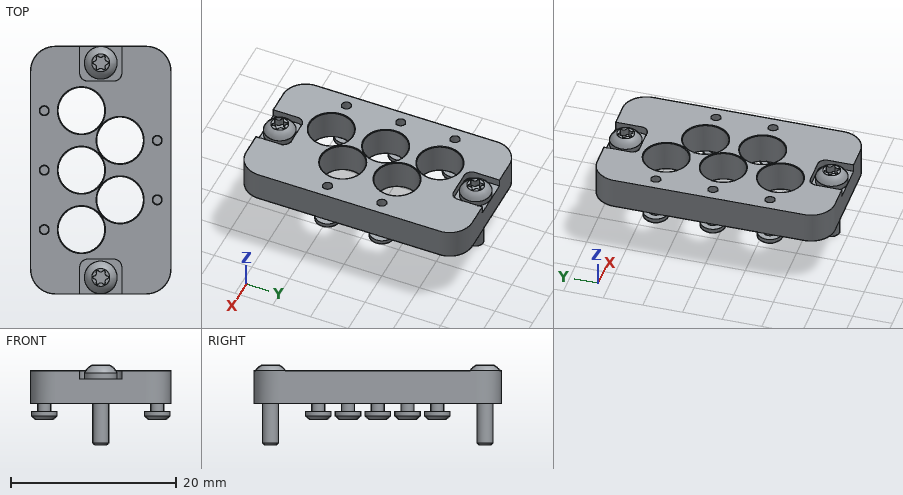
import cadquery as cq
import math

PLATE_WIDTH = 17.0
PLATE_LENGTH = 30.0
PLATE_THICKNESS = 4.0
CORNER_RADIUS = 3.0

PROBE_PITCH = 7.2
PROBE_COLUMN_X = 2.35
PROBE_DIAMETER = 5.65
PROBE_CHAMFER = 0.1

CLAMP_COLUMN_X = 6.85
CLAMP_HOLE_RADIUS = 0.6
CLAMP_TIP_HEIGHT = PLATE_THICKNESS / 2
CLAMP_TIP_CHAMFER = 0.05
CLAMP_SHANK_RADIUS = 0.8
CLAMP_SHANK_LENGTH = 0.93
CLAMP_HEAD_RADIUS = 1.55
CLAMP_RIM_HEIGHT = 0.55
CLAMP_TAPER_HEIGHT = 0.48
CLAMP_FACE_RADIUS = 1.02

POCKET_WIDTH = 5.1
POCKET_LENGTH = 4.23
POCKET_DEPTH = 1.0
POCKET_CORNER_RADIUS = 1.0
POCKET_FLOOR_Z = PLATE_THICKNESS - POCKET_DEPTH

SCREW_Y = 13.0
SHAFT_RADIUS = 1.0
SHAFT_BELOW_PLATE = 5.0
SHAFT_CHAMFER = 0.27
HEAD_RADIUS = 1.98
HEAD_RIM_HEIGHT = 0.72
HEAD_HEIGHT = 1.65
HEAD_FACE_RADIUS = 1.08
DOME_BULGE = 0.12

DRIVE_LOBES = 6
DRIVE_TIP_RADIUS = 0.93
DRIVE_VALLEY_RADIUS = 0.65
DRIVE_FLANK_RADIUS = 0.8
DRIVE_TIP_HALF_ANGLE = 12.0
DRIVE_DEPTH = 0.9


def polar(radius, degrees):
    angle = math.radians(degrees)
    return (radius * math.cos(angle), radius * math.sin(angle))


def probe_places():
    """Three openings on the left and two on the right, half a pitch apart: (side, y)."""
    left = [(-1, row * PROBE_PITCH) for row in (-1, 0, 1)]
    right = [(1, row * PROBE_PITCH) for row in (-0.5, 0.5)]
    return left + right


def make_plate():
    plate = cq.Workplane("XY").box(PLATE_WIDTH, PLATE_LENGTH, PLATE_THICKNESS, centered=(True, True, False))
    return plate.edges("|Z").fillet(CORNER_RADIUS)


def make_probe_openings():
    centers = [(side * PROBE_COLUMN_X, y) for side, y in probe_places()]
    bores = cq.Workplane("XY").pushPoints(centers).circle(PROBE_DIAMETER / 2).extrude(PLATE_THICKNESS)
    for x, y in centers:
        countersink = cq.Solid.makeCone(
            PROBE_DIAMETER / 2,
            PROBE_DIAMETER / 2 + PROBE_CHAMFER,
            PROBE_CHAMFER,
            pnt=cq.Vector(x, y, PLATE_THICKNESS - PROBE_CHAMFER),
        )
        bores = bores.union(cq.Workplane(countersink))
    return bores


def make_pocket(end):
    """Pocket at the +Y (end = 1) or -Y (end = -1) edge, rounded at its inner corners."""
    inner_y = PLATE_LENGTH / 2 - POCKET_LENGTH
    pocket = (
        cq.Workplane("XY", origin=(0, end * (inner_y + POCKET_LENGTH / 2), POCKET_FLOOR_Z))
        .box(POCKET_WIDTH, POCKET_LENGTH, POCKET_DEPTH, centered=(True, True, False))
    )
    inner_side = "<Y" if end > 0 else ">Y"
    return pocket.faces(inner_side).edges("|Z").fillet(POCKET_CORNER_RADIUS)


def make_drive_recess():
    """Star-shaped recess: each lobe is an arc over its tip followed by an arc through the valley."""
    step = 360 / DRIVE_LOBES
    outline = cq.Workplane("XY").moveTo(*polar(DRIVE_FLANK_RADIUS, -DRIVE_TIP_HALF_ANGLE))
    for lobe in range(DRIVE_LOBES):
        tip = lobe * step
        outline = outline.threePointArc(
            polar(DRIVE_TIP_RADIUS, tip),
            polar(DRIVE_FLANK_RADIUS, tip + DRIVE_TIP_HALF_ANGLE),
        )
        outline = outline.threePointArc(
            polar(DRIVE_VALLEY_RADIUS, tip + step / 2),
            polar(DRIVE_FLANK_RADIUS, tip + step - DRIVE_TIP_HALF_ANGLE),
        )
    return outline.close().extrude(DRIVE_DEPTH).translate((0, 0, HEAD_HEIGHT - DRIVE_DEPTH))


def make_mounting_screw():
    """Domed screw with the underside of its head at Z = 0."""
    tip_z = -(POCKET_FLOOR_Z + SHAFT_BELOW_PLATE)
    dome_width = HEAD_RADIUS - HEAD_FACE_RADIUS
    dome_height = HEAD_HEIGHT - HEAD_RIM_HEIGHT
    slope_length = math.hypot(dome_width, dome_height)
    dome_middle = (
        (HEAD_RADIUS + HEAD_FACE_RADIUS) / 2 + DOME_BULGE * dome_height / slope_length,
        (HEAD_RIM_HEIGHT + HEAD_HEIGHT) / 2 + DOME_BULGE * dome_width / slope_length,
    )
    profile = (
        cq.Workplane("XZ")
        .moveTo(0, tip_z)
        .lineTo(SHAFT_RADIUS - SHAFT_CHAMFER, tip_z)
        .lineTo(SHAFT_RADIUS, tip_z + SHAFT_CHAMFER)
        .lineTo(SHAFT_RADIUS, 0)
        .lineTo(HEAD_RADIUS, 0)
        .lineTo(HEAD_RADIUS, HEAD_RIM_HEIGHT)
        .threePointArc(dome_middle, (HEAD_FACE_RADIUS, HEAD_HEIGHT))
        .lineTo(0, HEAD_HEIGHT)
        .close()
    )
    return profile.revolve(360, (0, 0), (0, 1)).cut(make_drive_recess())


def make_clamp_screw():
    """Screw whose chamfered tip fills its hole above Z = 0, with the shank and tapered head below."""
    rim_top_z = -CLAMP_SHANK_LENGTH
    rim_bottom_z = rim_top_z - CLAMP_RIM_HEIGHT
    face_z = rim_bottom_z - CLAMP_TAPER_HEIGHT
    profile = (
        cq.Workplane("XZ")
        .moveTo(0, CLAMP_TIP_HEIGHT)
        .lineTo(CLAMP_HOLE_RADIUS - CLAMP_TIP_CHAMFER, CLAMP_TIP_HEIGHT)
        .lineTo(CLAMP_HOLE_RADIUS, CLAMP_TIP_HEIGHT - CLAMP_TIP_CHAMFER)
        .lineTo(CLAMP_HOLE_RADIUS, 0)
        .lineTo(CLAMP_SHANK_RADIUS, 0)
        .lineTo(CLAMP_SHANK_RADIUS, rim_top_z)
        .lineTo(CLAMP_HEAD_RADIUS, rim_top_z)
        .lineTo(CLAMP_HEAD_RADIUS, rim_bottom_z)
        .lineTo(CLAMP_FACE_RADIUS, face_z)
        .lineTo(0, face_z)
        .close()
    )
    return profile.revolve(360, (0, 0), (0, 1))


result = make_plate().cut(make_probe_openings())

for side, y in probe_places():
    x = side * CLAMP_COLUMN_X
    clamp_hole = cq.Workplane("XY", origin=(x, y, 0)).circle(CLAMP_HOLE_RADIUS).extrude(PLATE_THICKNESS)
    result = result.cut(clamp_hole)
    result = result.union(make_clamp_screw().translate((x, y, 0)))

for end in (-1, 1):
    result = result.cut(make_pocket(end))
    result = result.union(make_mounting_screw().translate((0, end * SCREW_Y, POCKET_FLOOR_Z)))